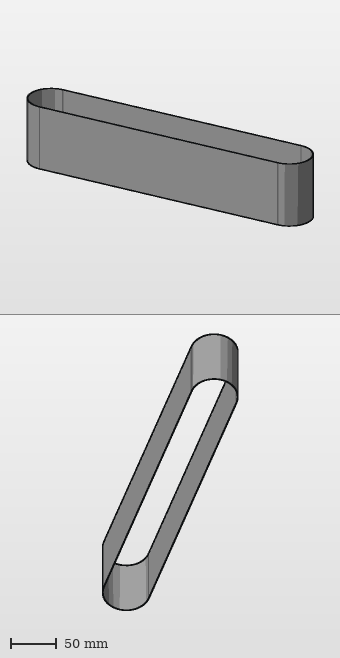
import cadquery as cq

length = 353.0
width = 53.0
height = 75.0
wall = 1.0

center_distance = length - width


def racetrack(end_diameter):
    """Upright solid with two round ends on the shared end centers."""
    return cq.Workplane("XY").slot2D(center_distance + end_diameter, end_diameter).extrude(height)


result = racetrack(width).cut(racetrack(width - 2 * wall))